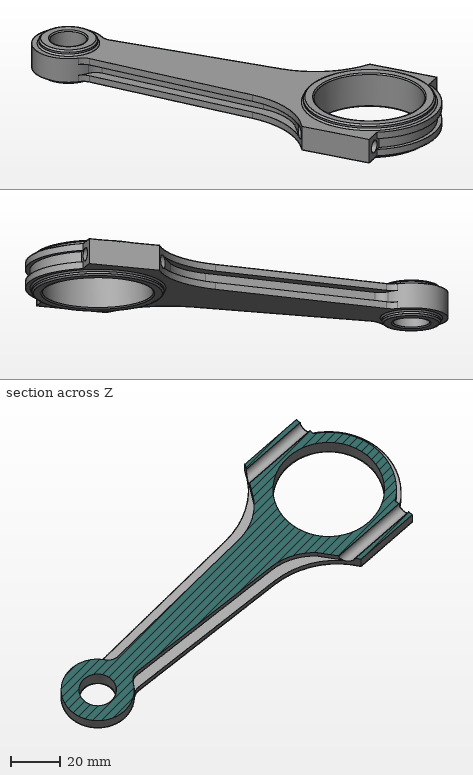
import cadquery as cq
import math

overall_length = 179.5
overall_width = 66.0
overall_height = 15.0
body_height = 10.6
ring_height = (overall_height - body_height) / 2

small_end_radius = 15.0
small_ring_radius = 24.0 / 2
small_bore_radius = 7.5

cap_radius = 29.54
big_ring_radius = 54.0 / 2
big_bore_radius = 22.6
small_end_x = cap_radius + small_end_radius - overall_length

shoulder_half_length = 15.0
shoulder_half_width = overall_width / 2
bolt_diameter = 5.4
bolt_offset = 28.1

taper_angle = math.radians(3.05)
shank_start_half_width = 9.2
shank_arc_start_x = -46.0
neck_radius = 6.0

groove_height = 4.8
groove_floor_start_half_width = 4.5
floor_arc_start_x = -43.1
floor_arc_end = (-25.1, 18.1)
floor_neck_radius = 5.4

ring_chamfer = 0.7
ring_base_flare = 0.7
bore_chamfer = 0.5

shoulder_corner = (-shoulder_half_length, shoulder_half_width)


def taper_point(x, start_half_width):
    """Point at x on a taper line with the given half width at the small end axis."""
    return (x, start_half_width + (x - small_end_x) * math.tan(taper_angle))


def neck_tangent_points(start_half_width, radius):
    """Tangent points and middle of the blend between the small end and a taper line."""
    offset_start = start_half_width + radius / math.cos(taper_angle)
    center_distance = small_end_radius + radius
    line_angle = math.asin(offset_start * math.cos(taper_angle) / center_distance)
    center_angle = taper_angle + line_angle
    center_x = small_end_x + center_distance * math.cos(center_angle)
    center_y = center_distance * math.sin(center_angle)

    first_angle = center_angle + math.pi
    last_angle = taper_angle + 1.5 * math.pi
    return [
        (center_x + radius * math.cos(angle), center_y + radius * math.sin(angle))
        for angle in (first_angle, (first_angle + last_angle) / 2, last_angle)
    ]


def half_shank(start_half_width, radius, arc_start_x, arc_end):
    """Half outline from the small end axis, along the taper and out to the shoulder."""
    boss_point, neck_middle, taper_start = neck_tangent_points(start_half_width, radius)
    outline = (
        cq.Workplane("XY", origin=(0, 0, -body_height / 2))
        .moveTo(small_end_x, 0)
        .lineTo(*boss_point)
        .threePointArc(neck_middle, taper_start)
        .lineTo(*taper_point(arc_start_x, start_half_width))
        .tangentArcPoint(arc_end, relative=False)
    )
    if arc_end != shoulder_corner:
        outline = outline.lineTo(*shoulder_corner)
    return outline.lineTo(shoulder_half_length, shoulder_half_width).lineTo(shoulder_half_length, 0).close()


def disc(x, radius, height):
    """Cylinder centred on the mid plane."""
    return cq.Workplane("XY", origin=(x, 0, -height / 2)).circle(radius).extrude(height)


def mirrored_body(half_outline, end_radius):
    """Full-height body: the half outline, its mirror image and the round ends."""
    half = half_outline.extrude(body_height)
    return (
        half.union(half.mirror("XZ"))
        .union(disc(small_end_x, small_end_radius, body_height))
        .union(disc(0, end_radius, body_height))
    )


def revolved(x, profile):
    """Solid of revolution about the vertical axis at x, from (radius, z) points."""
    return cq.Workplane("XZ", origin=(x, 0, 0)).polyline(profile).close().revolve(360, (0, 0), (0, 1))


def rings(x, radius):
    """Raised rings on both faces, each with a chamfered rim and a flared base."""
    base = body_height / 2
    top = base + ring_height
    edge = [
        (radius - ring_chamfer, top),
        (radius, top - ring_chamfer),
        (radius, base + ring_base_flare),
        (radius + ring_base_flare, base),
    ]
    lower_edge = [(r, -z) for r, z in reversed(edge)]
    return revolved(x, [(0, top)] + edge + lower_edge + [(0, -top)])


def bore(x, radius):
    """Through bore with a chamfer at both mouths."""
    top = overall_height / 2
    edge = [(radius + bore_chamfer, top), (radius, top - bore_chamfer)]
    lower_edge = [(r, -z) for r, z in reversed(edge)]
    return revolved(x, [(0, top)] + edge + lower_edge + [(0, -top)])


flange_outline = half_shank(shank_start_half_width, neck_radius, shank_arc_start_x, shoulder_corner)
body = mirrored_body(flange_outline, cap_radius)

core_outline = half_shank(
    groove_floor_start_half_width, floor_neck_radius, floor_arc_start_x, floor_arc_end
)
core = mirrored_body(core_outline, big_ring_radius)
groove_band = cq.Workplane("XY").box(2 * overall_length, 2 * overall_width, groove_height)
body = body.cut(groove_band.cut(core))

for end_x, ring_radius, bore_radius in (
    (small_end_x, small_ring_radius, small_bore_radius),
    (0, big_ring_radius, big_bore_radius),
):
    body = body.union(rings(end_x, ring_radius)).cut(bore(end_x, bore_radius))

bolt_holes = (
    cq.Workplane("YZ", origin=(-overall_length, 0, 0))
    .pushPoints([(-bolt_offset, 0), (bolt_offset, 0)])
    .circle(bolt_diameter / 2)
    .extrude(2 * overall_length)
)
result = body.cut(bolt_holes)